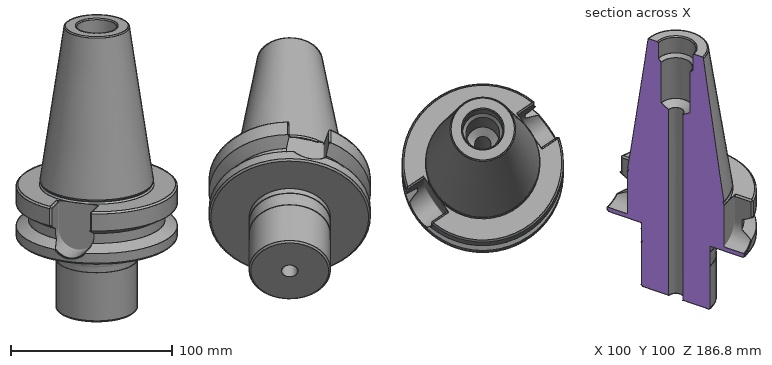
import cadquery as cq
import math

total_height = 186.8
flange_bottom = 47.3
flange_top = 82.0
gauge_height = 84.6

nose_diameter = 50.5
band_diameter = 50.0
nose_chamfer = 1.1
lower_band_bottom = 32.9
lower_band_top = 36.2
upper_band_bottom = 43.2
upper_band_top = 44.8
band_slope = 1.1

flange_diameter = 100.0
flange_chamfer = 1.1
groove_diameter = 84.8
groove_lower_edge = 54.7
groove_floor_bottom = 58.7
groove_floor_top = 65.2
groove_upper_edge = 69.7

gauge_diameter = 70.5
neck_diameter = 69.1
neck_foot_diameter = 71.0
neck_slope = 1.1
taper_rate = 7 / 24
tip_chamfer = 0.7

slot_width = 25.4
slot_floor = 35.1
slot_bottom = 50.6
slot_edge_bevel = 1.1
lower_edge_bevel = 0.5
slot_floor_fillet = 0.5

mouth_diameter = 26.5
bore_diameter = 25.0
bore_depth = 12.3
thread_diameter = 20.7
thread_depth = 44.8
through_diameter = 10.0
drill_point_angle = 118.0


def revolve_profile(points):
    """Revolve a closed (radius, height) outline about the Z axis."""
    return cq.Workplane("XZ").polyline(points).close().revolve(360, (0, 0, 0), (0, 1, 0))


def make_body():
    nose = nose_diameter / 2
    band = band_diameter / 2
    flange = flange_diameter / 2
    groove = groove_diameter / 2
    gauge = gauge_diameter / 2
    neck = neck_diameter / 2
    neck_foot = neck_foot_diameter / 2
    tip = gauge - (total_height - gauge_height) * taper_rate / 2
    return revolve_profile([
        (0, 0),
        (nose - nose_chamfer, 0),
        (nose, nose_chamfer),
        (nose, lower_band_bottom),
        (band, lower_band_bottom),
        (band, lower_band_top),
        (nose, lower_band_top + band_slope),
        (nose, upper_band_bottom),
        (band, upper_band_bottom),
        (band, upper_band_top),
        (nose, upper_band_top + band_slope),
        (nose, flange_bottom),
        (flange - flange_chamfer, flange_bottom),
        (flange, flange_bottom + flange_chamfer),
        (flange, groove_lower_edge),
        (groove, groove_floor_bottom),
        (groove, groove_floor_top),
        (flange, groove_upper_edge),
        (flange, flange_top - flange_chamfer),
        (flange - flange_chamfer, flange_top),
        (neck_foot, flange_top),
        (neck, flange_top + neck_slope),
        (neck, gauge_height - neck_slope),
        (gauge, gauge_height),
        (tip, total_height - tip_chamfer),
        (tip - tip_chamfer, total_height),
        (0, total_height),
    ])


def make_bore():
    mouth = mouth_diameter / 2
    bore = bore_diameter / 2
    thread = thread_diameter / 2
    through = through_diameter / 2
    bore_end = total_height - bore_depth
    thread_end = total_height - thread_depth
    drill_point_height = (thread - through) / math.tan(math.radians(drill_point_angle / 2))
    return revolve_profile([
        (0, 0),
        (through, 0),
        (through, thread_end - drill_point_height),
        (thread, thread_end),
        (thread, bore_end - (bore - thread)),
        (bore, bore_end),
        (bore, total_height - (mouth - bore)),
        (mouth, total_height),
        (0, total_height),
    ])


def make_slot():
    """Round-bottomed slot on the -Y side, with rounded floor and bevelled upper edges."""
    half = slot_width / 2
    wide = half + slot_edge_bevel
    rim = flange_diameter / 2
    rim_chord = math.sqrt(rim**2 - wide**2)
    arc_height = slot_bottom + half

    channel = (
        cq.Workplane("XZ", origin=(0, -slot_floor, 0))
        .moveTo(-half, flange_top)
        .lineTo(-half, arc_height)
        .threePointArc((0, slot_bottom), (half, arc_height))
        .lineTo(half, flange_top)
        .close()
        .extrude(rim - slot_floor)
        .faces(">Y")
        .edges("not >Z")
        .fillet(slot_floor_fillet)
    )
    top_bevel = (
        cq.Workplane("XZ", origin=(0, -slot_floor, 0))
        .polyline([
            (-half, flange_top - slot_edge_bevel),
            (half, flange_top - slot_edge_bevel),
            (wide, flange_top),
            (-wide, flange_top),
        ])
        .close()
        .extrude(rim - slot_floor)
    )
    rim_bevel = (
        cq.Workplane("XY", origin=(0, 0, groove_upper_edge))
        .polyline([
            (-half, -rim_chord + slot_edge_bevel),
            (half, -rim_chord + slot_edge_bevel),
            (wide, -rim_chord),
            (wide, -rim),
            (-wide, -rim),
            (-wide, -rim_chord),
        ])
        .close()
        .extrude(flange_top - groove_upper_edge)
    )
    return channel.union(top_bevel).union(rim_bevel)


def lower_rim_edges(body):
    """Edges where the rounded slot ends meet the rim below the V groove."""
    tolerance = 0.2
    rim_zone = (slot_floor + flange_diameter / 2) / 2
    edges = []
    for edge in body.edges().vals():
        box = edge.BoundingBox()
        between_walls = max(abs(box.xmin), abs(box.xmax)) < slot_width / 2
        on_lower_rim = box.zmin > slot_bottom - tolerance and box.zmax < groove_lower_edge + tolerance
        near_outside = min(abs(box.ymin), abs(box.ymax)) > rim_zone
        if between_walls and on_lower_rim and near_outside:
            edges.append(edge)
    return body.newObject(edges)


slot = make_slot()
opposite_slot = slot.rotate((0, 0, 0), (0, 0, 1), 180)
slotted_body = make_body().cut(slot).cut(opposite_slot)
bevelled_body = lower_rim_edges(slotted_body).chamfer(lower_edge_bevel)
result = bevelled_body.cut(make_bore())